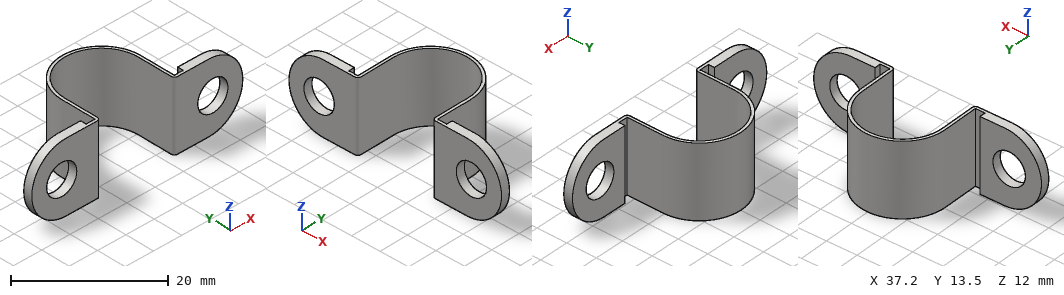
import cadquery as cq

length = 37.2
depth = 13.5
height = 12.0

strap_thickness = 0.5
loop_outer_radius = 7.0
bend_radius = 0.55

pad_thickness = 1.5
pad_inner_x = 8.55
hole_diameter = 5.3
hole_x = 13.3

loop_inner_radius = loop_outer_radius - strap_thickness
front_y = loop_outer_radius - depth
half_length = length / 2
end_radius = height / 2


def slab(x_min, x_max, y_min, y_max):
    """Full-height block between the given X and Y limits, centred on Z."""
    return (
        cq.Workplane("XY")
        .box(x_max - x_min, y_max - y_min, height, centered=(False, False, True))
        .translate((x_min, y_min, 0))
    )


def half_loop_profile(radius):
    """Solid U shape of the given radius, from the mounting face to the crown."""
    return (
        cq.Workplane("XY")
        .workplane(offset=-end_radius)
        .moveTo(-radius, front_y)
        .lineTo(-radius, 0)
        .threePointArc((0, radius), (radius, 0))
        .lineTo(radius, front_y)
        .close()
        .extrude(height)
    )


body = slab(-half_length, half_length, front_y, front_y + strap_thickness)
body = body.union(half_loop_profile(loop_outer_radius))
body = body.cut(half_loop_profile(loop_inner_radius))

for side in (-1, 1):
    bend_edge = cq.selectors.NearestToPointSelector((side * loop_inner_radius, front_y, 0))
    body = body.edges("|Z").edges(bend_edge).fillet(bend_radius)

pad_back_y = front_y + pad_thickness
body = body.union(slab(-half_length, -pad_inner_x, front_y, pad_back_y))
body = body.union(slab(pad_inner_x, half_length, front_y, pad_back_y))

end_outline = (
    cq.Workplane("XZ")
    .slot2D(length, height)
    .extrude(depth, both=True)
)
body = body.intersect(end_outline)

holes = (
    cq.Workplane("XZ")
    .pushPoints([(-hole_x, 0), (hole_x, 0)])
    .circle(hole_diameter / 2)
    .extrude(depth, both=True)
)
result = body.cut(holes)